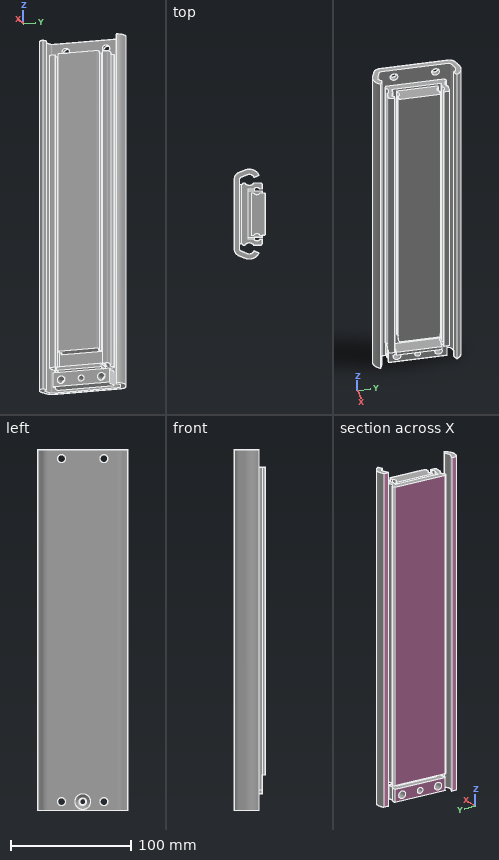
import cadquery as cq
import math

OUTER_TRACK_X = 12.6
OUTER_TRACK_RADIUS = 4.5
INNER_TRACK_X = 18.9
INNER_TRACK_Y = 19.1
INNER_TRACK_RADIUS = 3.0

CHANNEL_LENGTH = 300.0
CHANNEL_WIDTH = 74.93
WALL = 4.5
CURL_RADIUS = OUTER_TRACK_RADIUS + WALL
OUTER_TRACK_Y = CHANNEL_WIDTH / 2 - CURL_RADIUS
BEND_RADIUS = 6.5
FLANGE_SLOPE = 22.0
CURL_END = 25.0
MOUNT_HOLE_DIAMETER = 6.4
MOUNT_HOLE_Y = 17.6
SCREW_HOLE_DIAMETER = 6.2
THREAD_HOLE_DIAMETER = 5.0
SCREW_HEAD_DIAMETER = 13.0
SCREW_HEAD_ANGLE = 90.0
HOLE_END_DISTANCE = 7.5

MIDDLE_BOTTOM = 17.0
RAILS_TOP = 285.5
MIDDLE_BACK = 6.3
MIDDLE_WEB_FRONT = 11.6
MIDDLE_FRONT = 23.4
MIDDLE_HALF_WIDTH = 25.9
MIDDLE_INNER_HALF_WIDTH = 20.8
MIDDLE_BACK_CHAMFER = 1.2
MIDDLE_LIP_FILLET = 1.5

INNER_BOTTOM = 29.6
INNER_BACK = 14.4
INNER_FRONT = 26.0
INNER_HALF_WIDTH = 17.6
INNER_LIP_FILLET = 1.0

BUMPER_BOTTOM = 14.0
BUMPER_HALF_WIDTH = 19.4
BLOCK_BOTTOM = 2.0
BLOCK_FRONT = 17.0
BLOCK_HALF_WIDTH = 24.8


def box_between(x_min, x_max, half_width, z_min, z_max):
    """Box centred on Y = 0 between the given X and Z limits."""
    size = (x_max - x_min, 2 * half_width, z_max - z_min)
    return cq.Workplane("XY").box(*size, centered=(False, True, False)).translate((x_min, 0, z_min))


def track_cutter(track_x, track_y, radius):
    """Pair of full-length cylinders that cut the ball tracks on both sides."""
    centers = [(track_x, track_y), (track_x, -track_y)]
    return cq.Workplane("XY").pushPoints(centers).circle(radius).extrude(CHANNEL_LENGTH)


def hole_cutter(points, diameter):
    """Drills along X through everything at the given (Y, Z) points."""
    return cq.Workplane("YZ").pushPoints(points).circle(diameter / 2).extrude(INNER_FRONT)


def on_circle(center, radius, degrees):
    angle = math.radians(degrees)
    return (center[0] + radius * math.cos(angle), center[1] + radius * math.sin(angle))


def mirrored(point):
    return (point[0], -point[1])


SCREW_POINT = (0, HOLE_END_DISTANCE)
LOWER_MOUNT_POINTS = [(side * MOUNT_HOLE_Y, HOLE_END_DISTANCE) for side in (-1, 1)]
UPPER_MOUNT_POINTS = [(side * MOUNT_HOLE_Y, CHANNEL_LENGTH - HOLE_END_DISTANCE) for side in (-1, 1)]


def make_channel():
    slope = math.radians(FLANGE_SLOPE)
    curl_center = (OUTER_TRACK_X, OUTER_TRACK_Y)
    radius_step = CURL_RADIUS - BEND_RADIUS
    x_step = OUTER_TRACK_X - BEND_RADIUS
    bend_center = (BEND_RADIUS, OUTER_TRACK_Y + (radius_step - x_step * math.sin(slope)) / math.cos(slope))
    tangent = 90 + FLANGE_SLOPE
    curl_middle = (tangent + CURL_END) / 2
    bend_middle = (tangent + 180) / 2

    def side_points(offset):
        bend = BEND_RADIUS - offset
        curl = CURL_RADIUS - offset
        return [
            on_circle(bend_center, bend, 180),
            on_circle(bend_center, bend, bend_middle),
            on_circle(bend_center, bend, tangent),
            on_circle(curl_center, curl, tangent),
            on_circle(curl_center, curl, curl_middle),
            on_circle(curl_center, curl, CURL_END),
        ]

    outside = side_points(0)
    inside = side_points(WALL)
    profile = (
        cq.Workplane("XY")
        .moveTo(*mirrored(outside[0]))
        .lineTo(*outside[0])
        .threePointArc(outside[1], outside[2])
        .lineTo(*outside[3])
        .threePointArc(outside[4], outside[5])
        .lineTo(*inside[5])
        .threePointArc(inside[4], inside[3])
        .lineTo(*inside[2])
        .threePointArc(inside[1], inside[0])
        .lineTo(*mirrored(inside[0]))
        .threePointArc(mirrored(inside[1]), mirrored(inside[2]))
        .lineTo(*mirrored(inside[3]))
        .threePointArc(mirrored(inside[4]), mirrored(inside[5]))
        .lineTo(*mirrored(outside[5]))
        .threePointArc(mirrored(outside[4]), mirrored(outside[3]))
        .lineTo(*mirrored(outside[2]))
        .threePointArc(mirrored(outside[1]), mirrored(outside[0]))
        .close()
    )
    channel = profile.extrude(CHANNEL_LENGTH)
    channel = channel.cut(hole_cutter(LOWER_MOUNT_POINTS + UPPER_MOUNT_POINTS, MOUNT_HOLE_DIAMETER))
    return (
        channel.faces("<X")
        .workplane(origin=(0, 0, HOLE_END_DISTANCE))
        .cskHole(SCREW_HOLE_DIAMETER, SCREW_HEAD_DIAMETER, SCREW_HEAD_ANGLE, depth=WALL)
    )


def make_middle_rail():
    rail = box_between(MIDDLE_BACK, MIDDLE_FRONT, MIDDLE_HALF_WIDTH, MIDDLE_BOTTOM, RAILS_TOP)
    rail = rail.edges("|Z and <X").chamfer(MIDDLE_BACK_CHAMFER)
    rail = rail.edges("|Z and >X").fillet(MIDDLE_LIP_FILLET)
    rail = rail.cut(
        box_between(MIDDLE_WEB_FRONT, MIDDLE_FRONT, MIDDLE_INNER_HALF_WIDTH, MIDDLE_BOTTOM, RAILS_TOP)
    )
    rail = rail.cut(track_cutter(OUTER_TRACK_X, OUTER_TRACK_Y, OUTER_TRACK_RADIUS))
    return rail.cut(track_cutter(INNER_TRACK_X, INNER_TRACK_Y, INNER_TRACK_RADIUS))


def make_inner_rail():
    rail = box_between(INNER_BACK, INNER_FRONT, INNER_HALF_WIDTH, INNER_BOTTOM, RAILS_TOP)
    rail = rail.edges("|Z and >X").fillet(INNER_LIP_FILLET)
    return rail.cut(track_cutter(INNER_TRACK_X, INNER_TRACK_Y, INNER_TRACK_RADIUS))


def make_bumper():
    return box_between(MIDDLE_WEB_FRONT, MIDDLE_FRONT, BUMPER_HALF_WIDTH, BUMPER_BOTTOM, MIDDLE_BOTTOM)


def make_stop_block():
    block = box_between(WALL, BLOCK_FRONT, BLOCK_HALF_WIDTH, BLOCK_BOTTOM, BUMPER_BOTTOM)
    block = block.cut(track_cutter(OUTER_TRACK_X, OUTER_TRACK_Y, OUTER_TRACK_RADIUS))
    block = block.cut(hole_cutter(LOWER_MOUNT_POINTS, MOUNT_HOLE_DIAMETER))
    return block.cut(hole_cutter([SCREW_POINT], THREAD_HOLE_DIAMETER))


channel = make_channel()
middle_rail = make_middle_rail()
inner_rail = make_inner_rail()
bumper = make_bumper()
stop_block = make_stop_block()

result = cq.Compound.makeCompound(
    [channel.val(), middle_rail.val(), inner_rail.val(), bumper.val(), stop_block.val()]
)